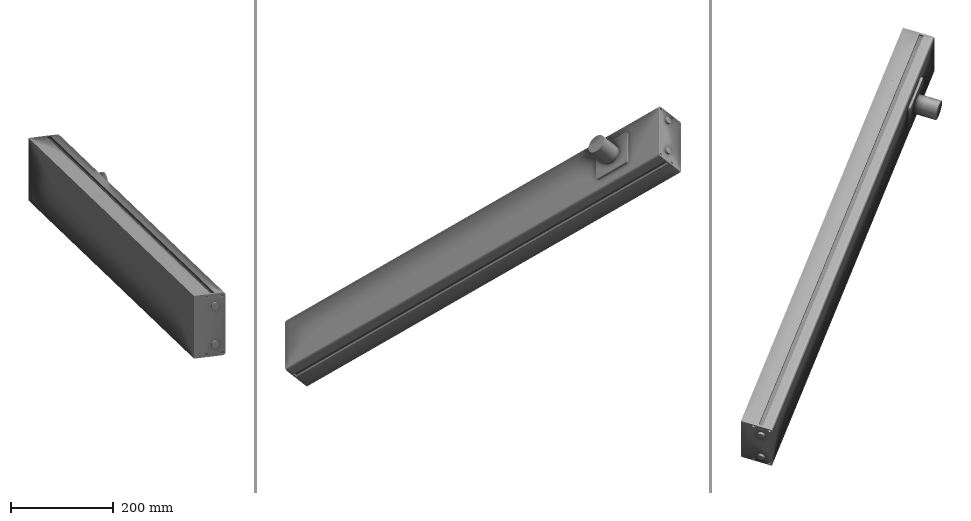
import cadquery as cq

overall_length = 970.0
height = 130.0
knob_height = 5.0
body_length = overall_length - 2 * knob_height

panel_depth = 20.0

housing_depth = 45.0
cap_thickness = 4.0
rear_corner_radius = 5.0
housing_length = body_length - 2 * cap_thickness
housing_rear = panel_depth + housing_depth
housing_middle = panel_depth + housing_depth / 2

groove_width = 9.0
groove_depth = 5.0
groove_middle = 40.0

knob_diameter = 15.0
knob_spacing = 80.0
screw_hole_diameter = 6.0
screw_hole_inset = 6.0
screw_spacing_y = housing_depth - 2 * screw_hole_inset
screw_spacing_z = height - 2 * screw_hole_inset

flange_side = 80.0
flange_corner_radius = 6.0
flange_thickness = 5.0
stem_diameter = 40.0
stem_length = 46.0
stem_from_end = 118.0
stem_x = stem_from_end - body_length / 2


def make_panel():
    """Flat plate over the full length, in front of the housing and the caps."""
    return cq.Workplane("XY").box(body_length, panel_depth, height).translate((0, panel_depth / 2, 0))


def make_rounded_block(length):
    """Block with the housing's cross-section, centred on X = 0."""
    block = cq.Workplane("XY").box(length, housing_depth, height)
    return block.edges("|X and >Y").fillet(rear_corner_radius).translate((0, housing_middle, 0))


def make_housing():
    """Long bar with one groove in its top and one in its bottom."""
    housing = make_rounded_block(housing_length)
    groove = cq.Workplane("XY").box(housing_length, groove_width, 2 * groove_depth)
    for side in (-1, 1):
        housing = housing.cut(groove.translate((0, groove_middle, side * height / 2)))
    return housing


def make_cap(side):
    """End cap with two round knobs and four corner screw holes; side is -1 or +1 along X."""
    cap = make_rounded_block(cap_thickness).translate((side * (housing_length + cap_thickness) / 2, 0, 0))
    outer_plane = cq.Workplane("YZ", origin=(side * body_length / 2, housing_middle, 0))
    holes = (
        outer_plane.rect(screw_spacing_y, screw_spacing_z, forConstruction=True)
        .vertices()
        .circle(screw_hole_diameter / 2)
        .extrude(-side * cap_thickness)
    )
    knobs = (
        outer_plane.pushPoints([(0, -knob_spacing / 2), (0, knob_spacing / 2)])
        .circle(knob_diameter / 2)
        .extrude(side * knob_height)
    )
    return cap.cut(holes).union(knobs)


def make_stem():
    """Square flange with rounded corners against the back of the housing, with a round stem on it."""
    back_plane = cq.Workplane("XZ", origin=(stem_x, housing_rear, 0))
    flange = back_plane.rect(flange_side, flange_side).extrude(-flange_thickness)
    flange = flange.edges("|Y").fillet(flange_corner_radius)
    stem = back_plane.circle(stem_diameter / 2).extrude(-(flange_thickness + stem_length))
    return flange.union(stem)


panel = make_panel()
housing = make_housing()
caps = [make_cap(side) for side in (-1, 1)]
stem = make_stem()

result = cq.Compound.makeCompound([panel.val(), housing.val(), *[cap.val() for cap in caps], stem.val()])